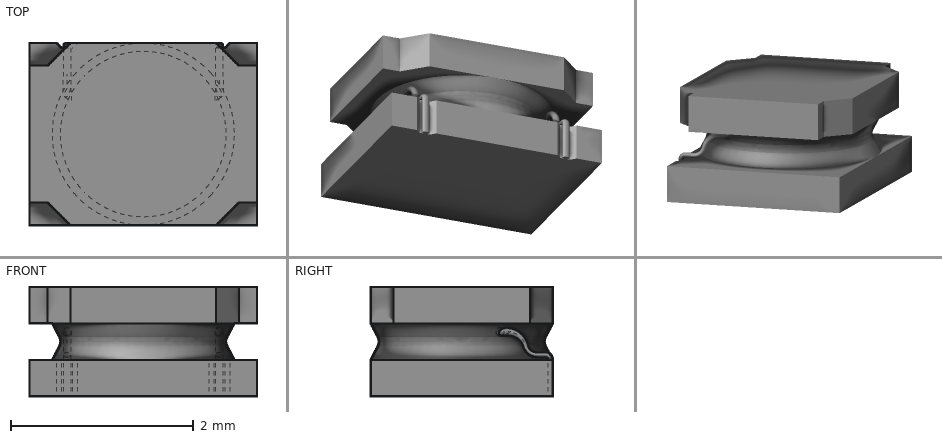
import cadquery as cq
import math

LENGTH = 2.5
WIDTH = 2.0
HEIGHT = 1.2
PLATE_THICKNESS = HEIGHT / 3
TOP_PLATE_Z = HEIGHT - PLATE_THICKNESS

CORNER_STEP = 0.2
CORNER_CHAMFER = 0.25

WAIST_RADIUS = WIDTH / 2
GROOVE_DEPTH = 0.105
GROOVE_FILLET = 0.1
GROOVE_SEARCH = 0.025

LEAD_HALF_WIDTH = 0.04
LEAD_HALF_THICKNESS = 0.028
LEAD_ROOT_RADIUS = 0.045
LEAD_X = 0.835
FOOT_BEND_RADIUS = 0.05
FOOT_RUN = 0.095
LOWER_BEND_RADIUS = 0.13
UPPER_BEND_RADIUS = 0.212
BEND_ANGLE = 75.0
ROOT_RUN = 0.028
ROOT_BEND_RADIUS = 0.05

NOTCH_DEPTH = 2 * LEAD_HALF_THICKNESS
NOTCH_OPENING = 0.23
NOTCH_FLOOR = NOTCH_OPENING - 2 * NOTCH_DEPTH
FOOT_Y = WIDTH / 2 - LEAD_HALF_THICKNESS


def make_base():
    """Rectangular plate with a 45-degree-sided notch for each lead."""
    base = cq.Workplane("XY").box(LENGTH, WIDTH, PLATE_THICKNESS, centered=(True, True, False))
    back = WIDTH / 2
    for side in (-1, 1):
        center = side * LEAD_X
        notch = (
            cq.Workplane("XY")
            .polyline([
                (center - NOTCH_OPENING / 2, back),
                (center - NOTCH_FLOOR / 2, back - NOTCH_DEPTH),
                (center + NOTCH_FLOOR / 2, back - NOTCH_DEPTH),
                (center + NOTCH_OPENING / 2, back),
            ])
            .close()
            .extrude(PLATE_THICKNESS)
        )
        base = base.cut(notch)
    return base.solids().val()


def make_top_plate():
    """Plate whose four corners are cut by a step and a 45-degree chamfer."""
    step_x = LENGTH / 2 - CORNER_STEP
    front_x = step_x - CORNER_CHAMFER
    step_y = WIDTH / 2 - CORNER_CHAMFER
    plate = cq.Workplane("XY").workplane(offset=TOP_PLATE_Z).rect(LENGTH, WIDTH).extrude(PLATE_THICKNESS)
    for side_x in (-1, 1):
        for side_y in (-1, 1):
            corner = (
                cq.Workplane("XY")
                .workplane(offset=TOP_PLATE_Z)
                .polyline([
                    (side_x * LENGTH / 2, side_y * step_y),
                    (side_x * step_x, side_y * step_y),
                    (side_x * front_x, side_y * WIDTH / 2),
                    (side_x * LENGTH / 2, side_y * WIDTH / 2),
                ])
                .close()
                .extrude(PLATE_THICKNESS)
            )
            plate = plate.cut(corner)
    return plate.solids().val()


def make_waist(leads):
    """Round waist with a filleted V-groove, recessed where the leads enter."""
    groove_radius = WAIST_RADIUS - GROOVE_DEPTH
    waist = (
        cq.Workplane("XZ")
        .polyline([
            (0, PLATE_THICKNESS),
            (WAIST_RADIUS, PLATE_THICKNESS),
            (groove_radius, HEIGHT / 2),
            (WAIST_RADIUS, TOP_PLATE_Z),
            (0, TOP_PLATE_Z),
        ])
        .close()
        .revolve(360, (0, 0), (0, 1))
    )
    groove_edge = cq.selectors.BoxSelector(
        (-LENGTH, -LENGTH, HEIGHT / 2 - GROOVE_SEARCH), (LENGTH, LENGTH, HEIGHT / 2 + GROOVE_SEARCH)
    )
    waist = waist.edges("%CIRCLE").edges(groove_edge).fillet(GROOVE_FILLET)
    for lead in leads:
        waist = waist.cut(cq.Workplane(lead))
    return waist.solids().val()


def bend_point(start, radius, angle, inflected):
    """Point (y, z) reached on an S-bend arc after turning by angle.

    The first arc leaves horizontally and steepens; the inflected arc starts
    steep and flattens until it is horizontal again.
    """
    first = math.radians(BEND_ANGLE if inflected else 0.0)
    last = math.radians(BEND_ANGLE - angle if inflected else angle)
    along = radius * abs(math.sin(last) - math.sin(first))
    rise = radius * abs(math.cos(last) - math.cos(first))
    return (start[0] - along, start[1] + rise)


def make_left_lead():
    """Wire rising from the base notch through an S-bend into the waist."""
    foot_bend_z = PLATE_THICKNESS + 2 * LEAD_HALF_THICKNESS - FOOT_BEND_RADIUS
    run_z = foot_bend_z + FOOT_BEND_RADIUS
    run_start = (FOOT_Y - FOOT_BEND_RADIUS, run_z)
    run_end = (run_start[0] - FOOT_RUN, run_z)
    foot_middle = (
        run_start[0] + FOOT_BEND_RADIUS * math.sqrt(0.5),
        foot_bend_z + FOOT_BEND_RADIUS * math.sqrt(0.5),
    )
    lower_middle = bend_point(run_end, LOWER_BEND_RADIUS, BEND_ANGLE / 2, False)
    inflection = bend_point(run_end, LOWER_BEND_RADIUS, BEND_ANGLE, False)
    upper_middle = bend_point(inflection, UPPER_BEND_RADIUS, BEND_ANGLE / 2, True)
    crest = bend_point(inflection, UPPER_BEND_RADIUS, BEND_ANGLE, True)

    side = cq.Workplane("YZ", origin=(-LEAD_X, 0, 0))
    slim_path = (
        side.moveTo(FOOT_Y, 0)
        .lineTo(FOOT_Y, foot_bend_z)
        .threePointArc(foot_middle, run_start)
        .lineTo(*run_end)
        .threePointArc(lower_middle, inflection)
    )
    slim = (
        cq.Workplane("XY", origin=(-LEAD_X, FOOT_Y, 0))
        .ellipse(LEAD_HALF_WIDTH, LEAD_HALF_THICKNESS)
        .sweep(slim_path)
    )

    turn = math.radians(BEND_ANGLE)
    slim_normal = cq.Vector(0, -math.cos(turn), math.sin(turn))
    root_plane = cq.Plane(origin=(-LEAD_X, *crest), xDir=(1, 0, 0), normal=(0, -1, 0))
    slim_ring = cq.Wire.makeEllipse(
        LEAD_HALF_WIDTH, LEAD_HALF_THICKNESS, cq.Vector(-LEAD_X, *inflection), slim_normal, cq.Vector(1, 0, 0)
    )
    root_ring = cq.Wire.makeCircle(LEAD_ROOT_RADIUS, root_plane.origin, root_plane.zDir)
    upper_path = cq.Edge.makeThreePointArc(
        cq.Vector(-LEAD_X, *inflection), cq.Vector(-LEAD_X, *upper_middle), cq.Vector(-LEAD_X, *crest)
    )
    upper = cq.Solid.sweep_multi([slim_ring, root_ring], upper_path)

    root_end_y = crest[0] - ROOT_RUN
    bend_offset = ROOT_BEND_RADIUS * math.sqrt(0.5)
    root_path = (
        cq.Workplane("XY", origin=(0, 0, crest[1]))
        .moveTo(-LEAD_X, crest[0])
        .lineTo(-LEAD_X, root_end_y)
        .threePointArc(
            (-LEAD_X + ROOT_BEND_RADIUS - bend_offset, root_end_y - bend_offset),
            (-LEAD_X + ROOT_BEND_RADIUS, root_end_y - ROOT_BEND_RADIUS),
        )
    )
    root = cq.Workplane(root_plane).circle(LEAD_ROOT_RADIUS).sweep(root_path)
    return slim.union(cq.Workplane(upper)).union(root).solids().val()


left_lead = make_left_lead()
leads = [left_lead, left_lead.mirror("YZ")]
base = make_base()
top_plate = make_top_plate()
waist = make_waist(leads)

result = cq.Compound.makeCompound([base, top_plate, waist, *leads])